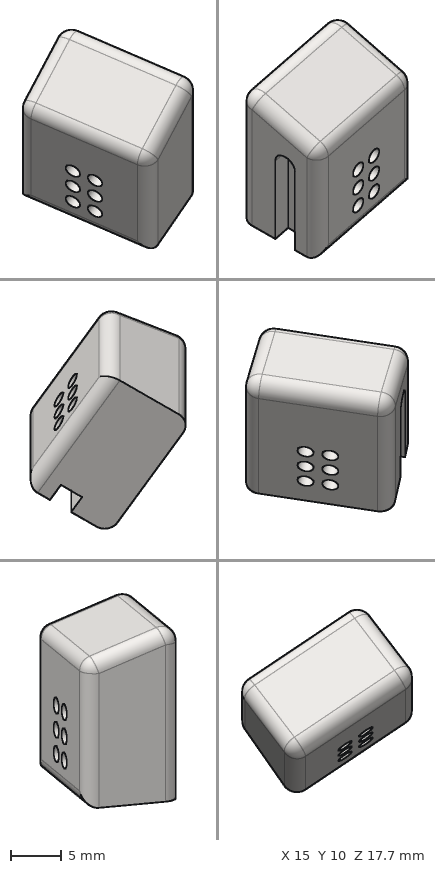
import cadquery as cq
import math

width = 15.0
depth = 10.0
height = 17.72
edge_radius = 1.5
top_slope = 1 / 3

hole_diameter = 1.61
hole_pitch = 2.5
hole_columns = 2
hole_rows = 3
lowest_hole_z = 3.33

slot_width = hole_pitch
slot_height = 12.25
slot_y = -0.75
slot_depth = 2.0

slope_length = math.hypot(1, top_slope)
back_height = height + edge_radius * (slope_length + top_slope - 1)
front_height = back_height - depth * top_slope


def rounded_body():
    """Sloped block with its upright and top edges rounded."""
    side_outline = [
        (-depth / 2, 0),
        (depth / 2, 0),
        (depth / 2, back_height),
        (-depth / 2, front_height),
    ]
    block = cq.Workplane("YZ").polyline(side_outline).close().extrude(width / 2, both=True)
    return block.edges("not <Z").fillet(edge_radius)


def front_bottom_rounding():
    """Full-width envelope that rounds the lower front edge straight across."""
    envelope = cq.Workplane("XY").box(width, depth, back_height, centered=(True, True, False))
    return envelope.edges("<Y and <Z").fillet(edge_radius)


def through_holes():
    """Grid of holes along Y."""
    grid_center_z = lowest_hole_z + hole_pitch * (hole_rows - 1) / 2
    return (
        cq.Workplane("XZ", origin=(0, 0, grid_center_z))
        .rarray(hole_pitch, hole_pitch, hole_columns, hole_rows)
        .circle(hole_diameter / 2)
        .extrude(depth, both=True)
    )


def side_slot():
    """Slot cut inward from the -X side."""
    slot_radius = slot_width / 2
    straight_height = slot_height - slot_radius
    return (
        cq.Workplane("YZ", origin=(-width / 2, slot_y, 0))
        .moveTo(-slot_radius, 0)
        .lineTo(-slot_radius, straight_height)
        .threePointArc((0, slot_height), (slot_radius, straight_height))
        .lineTo(slot_radius, 0)
        .close()
        .extrude(slot_depth)
    )


body = rounded_body().intersect(front_bottom_rounding())
result = body.cut(side_slot()).cut(through_holes())